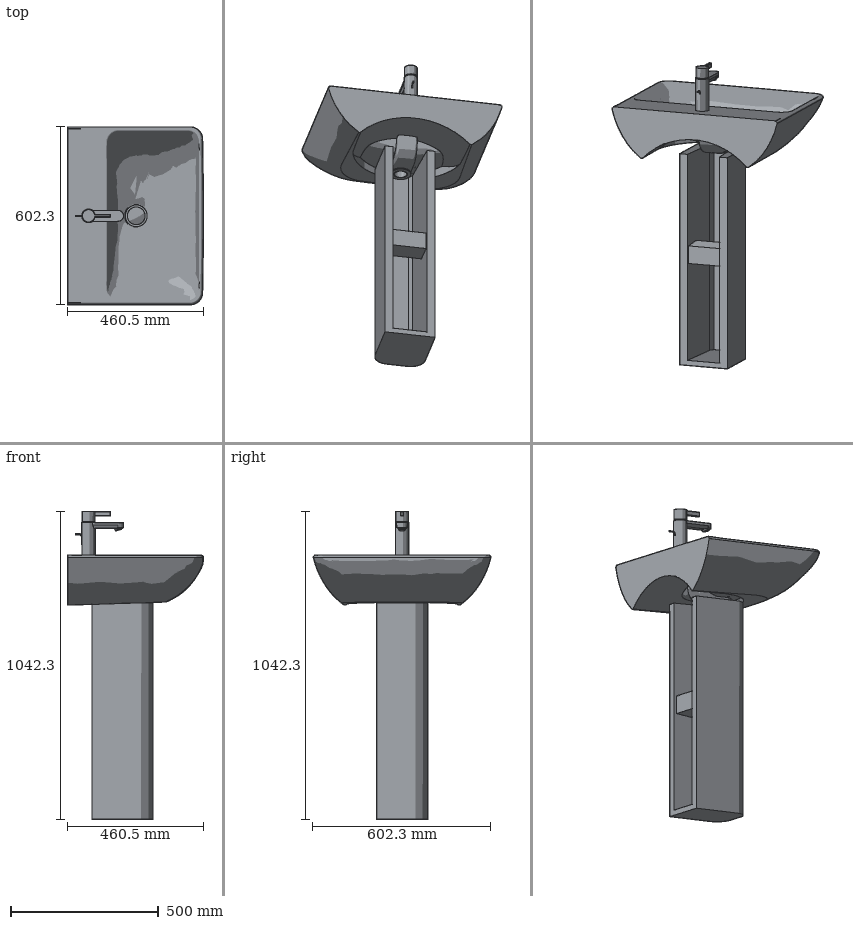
import cadquery as cq
import math


overall_depth = 460.49
overall_width = 602.3
overall_height = 1042.35
deck_z = 894.0

rim_height = 8.0
rim_bevel = 5.5
rim_overhang = 0.5
front_bow = 3.0
rim_corner_radius = 42.0
shell_sections = [
    (720, 190, 305, 80),
    (743, 218, 350, 100),
    (775, 248, 398, 100),
    (805, 268, 425, 90),
    (846, 288, 451, 65),
]
underside_back_z = 724.6
underside_front_z = 735.0
underside_run = 326.0
arch_half_width = 189.0
arch_crown_z = 805.0
arch_spring_z = 726.0
recess_side_depth = 120.0
recess_middle_depth = 290.0

back_strip_depth = 44.0
back_strip_rise = 1.0

bowl_sections = [
    (deck_z, 135, 445, 288, 38),
    (836, 147, 422, 243, 65),
    (798, 158, 382, 203, 75),
    (776, 175, 330, 125, 60),
    (764, 194.5, 270.5, 38, 34),
]
bowl_edge_radius = 4.5
bowl_wall = 12.0

drain_x = 232.5
drain_boss_diameter = 70.0
drain_boss_bottom_z = 719.0
flange_diameter = 74.0
flange_thickness = 5.0
flange_bottom_z = 760.0
drain_tube_diameter = 46.0
drain_bore_diameter = 42.0
plug_diameter = 60.0
plug_rise = 6.0
plug_edge = 2.0
plug_stem_length = 20.0

duct_width = 68.0
duct_back_x = 118.0
duct_bend_radius = 64.0
duct_bottom_z = 723.0
duct_edge_radius = 7.0

pedestal_back_x = 82.0
pedestal_front_x = 290.0
pedestal_width = 174.0
pedestal_height = 732.5
pedestal_corner_radius = 50.0
cavity_mouth_half_width = 58.5
cavity_inner_half_width = 46.0
cavity_end_half_width = 36.0
cavity_end_x = 270.0
cavity_corner_x = 255.0
base_thickness = 18.0
bar_bottom_z = 352.0
bar_top_z = 413.0
bar_back_x = 92.0
bar_depth = 57.0
bar_draft = 8.0

faucet_x = 71.0
faucet_diameter = 46.0
body_top_z = 1004.5
neck_diameter = 42.0
handle_diameter = 44.0
handle_bottom_z = 1008.0
lever_tip_x = 146.0
lever_width = 10.0
lever_height = 16.0
lever_edge = 2.0
spout_width = 37.0
spout_tip_x = 189.5
spout_height = 20.0
spout_bevel_height = 11.0
spout_bevel_width = 5.0
spout_tip_bevel = 4.0
aerator_x = 171.0
aerator_collar_diameter = 23.15
aerator_diameter = 20.15
aerator_tilt = 15.0
aerator_collar_height = 6.0
aerator_tip_height = 3.0
aerator_seat_depth = 3.0

rod_diameter = 4.0
rod_tip_x = 27.5
rod_bend_x = 39.0
rod_z = 965.0
rod_bend_run = 10.0
rod_bend_drop = 12.0


def basin_outline(z, half_width, depth, corner):
    """Closed plan outline: flat at the wall, rounded front corners, bowed front."""
    shoulder = depth - front_bow
    corner_mid = corner * (1 - math.sqrt(0.5))
    return (
        cq.Workplane("XY", origin=(0, 0, z))
        .moveTo(0, -half_width)
        .lineTo(shoulder - corner, -half_width)
        .threePointArc((shoulder - corner_mid, -half_width + corner_mid), (shoulder, -half_width + corner))
        .threePointArc((depth, 0), (shoulder, half_width - corner))
        .threePointArc((shoulder - corner_mid, half_width - corner_mid), (shoulder - corner, half_width))
        .lineTo(0, half_width)
        .close()
    )


def bowl_outline(z, back, front, half_width, corner):
    """Rounded rectangle in plan at height z."""
    corner_mid = corner * (1 - math.sqrt(0.5))
    return (
        cq.Workplane("XY", origin=(0, 0, z))
        .moveTo(back, half_width - corner)
        .lineTo(back, corner - half_width)
        .threePointArc((back + corner_mid, corner_mid - half_width), (back + corner, -half_width))
        .lineTo(front - corner, -half_width)
        .threePointArc((front - corner_mid, corner_mid - half_width), (front, corner - half_width))
        .lineTo(front, half_width - corner)
        .threePointArc((front - corner_mid, half_width - corner_mid), (front - corner, half_width))
        .lineTo(back + corner, half_width)
        .threePointArc((back + corner_mid, half_width - corner_mid), (back, half_width - corner))
        .close()
        .wire()
        .val()
    )


def bowl_solid(margin):
    """Filled bowl, grown outward and downward by margin."""
    wires = [
        bowl_outline(z - margin, back - margin, front + margin, half + margin, corner + margin)
        for z, back, front, half, corner in bowl_sections
    ]
    return cq.Workplane(cq.Solid.makeLoft(wires, False))


def cylinder(diameter, x, bottom, top):
    """Upright cylinder on the Y = 0 plane."""
    return cq.Workplane("XY", origin=(x, 0, bottom)).circle(diameter / 2).extrude(top - bottom)


def underside_height(x):
    """Height of the sloping bottom edge of the basin at depth x."""
    return underside_back_z + (underside_front_z - underside_back_z) * x / underside_run


def make_shell():
    """Filled outer shape of the basin, rim included."""
    rim_bottom = deck_z - rim_height
    rim = basin_outline(rim_bottom, overall_width / 2, overall_depth, rim_corner_radius).extrude(rim_height)
    rim = rim.faces(">Z").edges("not <X").chamfer(rim_bevel)
    top_half_width = overall_width / 2 - rim_overhang
    top_section = (rim_bottom, top_half_width, overall_depth - rim_overhang, rim_corner_radius)
    sections = [*shell_sections, top_section]
    wires = [basin_outline(*section).wire().val() for section in sections]
    shell = cq.Workplane(cq.Solid.makeLoft(wires, False))
    below = (
        cq.Workplane("XZ")
        .polyline([
            (0, underside_height(0)),
            (overall_depth, underside_height(overall_depth)),
            (overall_depth, 0),
            (0, 0),
        ])
        .close()
        .extrude(overall_width / 2, both=True)
    )
    return shell.cut(below).union(rim)


def make_back_strip():
    """Shallow wedge along the wall edge of the deck."""
    return (
        cq.Workplane("XZ")
        .polyline([(0, deck_z), (back_strip_depth, deck_z), (0, deck_z + back_strip_rise)])
        .close()
        .extrude(overall_width / 2 - rim_bevel, both=True)
    )


def make_arch_recess():
    """Arched hollow under the basin, open at the wall and stopped by the bowl and front skirt."""
    floor_z = drain_boss_bottom_z
    arch = (
        cq.Workplane("YZ")
        .moveTo(-arch_half_width, floor_z)
        .lineTo(-arch_half_width, arch_spring_z)
        .threePointArc((0, arch_crown_z), (arch_half_width, arch_spring_z))
        .lineTo(arch_half_width, floor_z)
        .close()
        .extrude(recess_middle_depth)
    )
    plan = (
        cq.Workplane("XY", origin=(0, 0, floor_z))
        .moveTo(0, -arch_half_width)
        .lineTo(recess_side_depth, -arch_half_width)
        .threePointArc((recess_middle_depth, 0), (recess_side_depth, arch_half_width))
        .lineTo(0, arch_half_width)
        .close()
        .extrude(arch_crown_z - floor_z)
    )
    return arch.intersect(plan).cut(bowl_solid(bowl_wall))


def make_overflow_duct():
    """Duct that drops down behind the bowl and bends forward to the drain."""
    bend_center_x = duct_back_x + duct_bend_radius
    bend_center_z = duct_bottom_z + duct_bend_radius
    diagonal = duct_bend_radius * math.sqrt(0.5)
    return (
        cq.Workplane("XZ")
        .moveTo(duct_back_x, arch_crown_z)
        .lineTo(duct_back_x, bend_center_z)
        .threePointArc((bend_center_x - diagonal, bend_center_z - diagonal), (bend_center_x, duct_bottom_z))
        .lineTo(drain_x, duct_bottom_z)
        .lineTo(drain_x, arch_crown_z)
        .close()
        .extrude(duct_width / 2, both=True)
        .edges("<Y or >Y")
        .edges("not (>Z or >X)")
        .fillet(duct_edge_radius)
    )


def make_basin():
    shell = make_shell().cut(bowl_solid(0))
    inner_half_width = overall_width / 2 - rim_bevel
    mouth = cq.selectors.BoxSelector(
        (back_strip_depth, -inner_half_width, deck_z - rim_bevel),
        (overall_depth - front_bow - rim_bevel, inner_half_width, deck_z + rim_bevel),
    )
    shell = shell.edges(mouth).fillet(bowl_edge_radius)
    boss = cylinder(drain_boss_diameter, drain_x, drain_boss_bottom_z, flange_bottom_z)
    basin = shell.cut(make_arch_recess()).union(make_back_strip())
    basin = basin.union(make_overflow_duct().union(boss).cut(bowl_solid(0)))
    basin = basin.cut(cylinder(flange_diameter, drain_x, flange_bottom_z, deck_z))
    return basin.cut(cylinder(drain_tube_diameter, drain_x, drain_boss_bottom_z, flange_bottom_z))


def make_drain_flange():
    """Flanged tube seated in the bottom of the bowl."""
    top = flange_bottom_z + flange_thickness
    flange = cylinder(flange_diameter, drain_x, flange_bottom_z, top)
    tube = cylinder(drain_tube_diameter, drain_x, drain_boss_bottom_z, flange_bottom_z)
    bore = cylinder(drain_bore_diameter, drain_x, drain_boss_bottom_z, top)
    return flange.union(tube).cut(bore)


def make_drain_plug():
    """Domed plug resting on the flange, with a stem down the bore."""
    base_z = flange_bottom_z + flange_thickness
    radius = plug_diameter / 2
    edge_z = base_z + plug_edge
    dome_radius = (radius**2 + plug_rise**2) / (2 * plug_rise)
    half_angle = math.asin(radius / dome_radius) / 2
    mid_x = dome_radius * math.sin(half_angle)
    mid_z = edge_z + plug_rise - dome_radius * (1 - math.cos(half_angle))
    stem_radius = drain_bore_diameter / 2
    return (
        cq.Workplane("XZ", origin=(drain_x, 0, 0))
        .moveTo(0, base_z - plug_stem_length)
        .lineTo(stem_radius, base_z - plug_stem_length)
        .lineTo(stem_radius, base_z)
        .lineTo(radius, base_z)
        .lineTo(radius, edge_z)
        .threePointArc((mid_x, mid_z), (0, edge_z + plug_rise))
        .close()
        .revolve(360, (0, 0, 0), (0, 1, 0))
    )


def make_pedestal():
    """Hollow column, open at the back, with a base and one cross bar."""
    column = (
        cq.Workplane("XY")
        .rect(pedestal_front_x - pedestal_back_x, pedestal_width)
        .extrude(pedestal_height)
        .translate(((pedestal_front_x + pedestal_back_x) / 2, 0, 0))
        .edges("|Z and >X")
        .fillet(pedestal_corner_radius)
    )
    cavity = (
        cq.Workplane("XY", origin=(0, 0, base_thickness))
        .polyline([
            (pedestal_back_x, -cavity_mouth_half_width),
            (cavity_corner_x, -cavity_inner_half_width),
            (cavity_end_x, -cavity_end_half_width),
            (cavity_end_x, cavity_end_half_width),
            (cavity_corner_x, cavity_inner_half_width),
            (pedestal_back_x, cavity_mouth_half_width),
        ])
        .close()
        .extrude(pedestal_height)
    )
    bar = (
        cq.Workplane("XZ")
        .polyline([
            (bar_back_x, bar_bottom_z),
            (bar_back_x + bar_depth, bar_bottom_z - bar_draft),
            (bar_back_x + bar_depth, bar_top_z + bar_draft),
            (bar_back_x, bar_top_z),
        ])
        .close()
        .extrude(cavity_mouth_half_width, both=True)
    )
    return column.cut(cavity.cut(bar))


def make_aerator():
    """Tilted aerator whose collar is partly sunk into the underside of the spout."""
    collar = cq.Workplane("XY").circle(aerator_collar_diameter / 2).extrude(aerator_collar_height)
    tip = cq.Workplane("XY").circle(aerator_diameter / 2).extrude(-aerator_tip_height)
    spout_bottom = body_top_z - spout_height
    return (
        collar.union(tip)
        .translate((0, 0, aerator_seat_depth - aerator_collar_height))
        .rotate((0, 0, 0), (0, 1, 0), -aerator_tilt)
        .translate((aerator_x, 0, spout_bottom))
    )


def make_spout():
    """Round-ended spout with bevelled lower sides and tip."""
    end_radius = spout_width / 2
    bottom = body_top_z - spout_height
    end_x = spout_tip_x - end_radius
    spout = (
        cq.Workplane("XY", origin=(0, 0, bottom))
        .moveTo(faucet_x, -end_radius)
        .lineTo(end_x, -end_radius)
        .threePointArc((spout_tip_x, 0), (end_x, end_radius))
        .lineTo(faucet_x, end_radius)
        .close()
        .extrude(spout_height)
    )
    spout = spout.faces("<Z").edges("%CIRCLE").chamfer(spout_tip_bevel)
    bevel = (
        cq.Workplane("YZ", origin=(faucet_x, 0, 0))
        .polyline([
            (end_radius, bottom + spout_bevel_height),
            (end_radius - spout_bevel_width, bottom),
            (end_radius, bottom),
        ])
        .close()
        .extrude(end_x - faucet_x)
    )
    return spout.cut(bevel).cut(bevel.mirror("XZ"))


def make_rod():
    """Pop-up rod: a straight grip that bends down into the faucet body."""
    path = (
        cq.Workplane("XZ")
        .moveTo(rod_tip_x, rod_z)
        .lineTo(rod_bend_x, rod_z)
        .tangentArcPoint((rod_bend_run, -rod_bend_drop))
    )
    return cq.Workplane("YZ", origin=(rod_tip_x, 0, rod_z)).circle(rod_diameter / 2).sweep(path)


def make_faucet_body():
    body = cylinder(faucet_diameter, faucet_x, deck_z, body_top_z)
    neck = cylinder(neck_diameter, faucet_x, body_top_z, handle_bottom_z)
    return body.union(make_spout()).union(neck)


def make_handle():
    """Cap with a slim lever pointing forward."""
    cap = cylinder(handle_diameter, faucet_x, handle_bottom_z, overall_height)
    lever = (
        cq.Workplane("XY")
        .box(lever_tip_x - faucet_x, lever_width, lever_height, centered=(False, True, False))
        .translate((faucet_x, 0, overall_height - lever_height))
        .edges("|X or >X")
        .chamfer(lever_edge)
    )
    return cap.union(lever)


basin = make_basin()
pedestal = make_pedestal()
drain_flange = make_drain_flange()
drain_plug = make_drain_plug()
rod = make_rod()
aerator = make_aerator()
faucet_body = make_faucet_body().cut(rod).cut(aerator)
handle = make_handle()

result = cq.Compound.makeCompound([
    basin.solids().val(),
    pedestal.solids().val(),
    drain_flange.solids().val(),
    drain_plug.solids().val(),
    faucet_body.solids().val(),
    handle.solids().val(),
    aerator.solids().val(),
    rod.solids().val(),
])